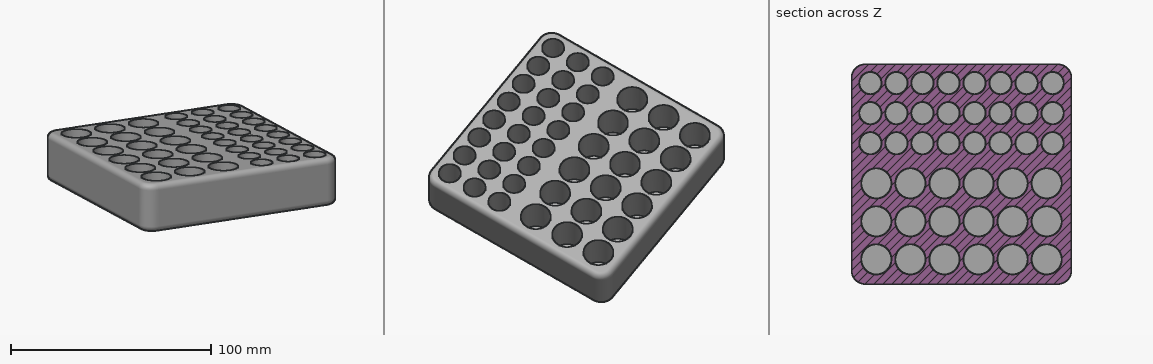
import cadquery as cq

side = 110
height = 25.0
corner_radius = 7.0
edge_radius = 3.0

floor_thickness = 5.0
pocket_depth = height - floor_thickness

small_diameter = 11
small_columns = 8
small_rows = 3
small_span_x = 91.0
small_span_y = 30.0
small_centre_y = 30.5

large_diameter = 15.0
large_columns = 6
large_rows = 3
large_span_x = 85.0
large_span_y = 38.0
large_centre_y = -23.5


def make_block():
    """Square block with rounded corners and rounded top and bottom rims."""
    block = cq.Workplane("XY").box(side, side, height, centered=(True, True, False))
    block = block.edges("|Z").fillet(corner_radius)
    return block.faces("<Z or >Z").edges().fillet(edge_radius)


def make_pockets(diameter, columns, rows, span_x, span_y, centre_y):
    """Cylinders that cut a rectangular grid of flat-bottomed pockets."""
    pitch_x = span_x / (columns - 1)
    pitch_y = span_y / (rows - 1)
    return (
        cq.Workplane("XY", origin=(0, centre_y, floor_thickness))
        .rarray(pitch_x, pitch_y, columns, rows)
        .circle(diameter / 2)
        .extrude(pocket_depth)
    )


small_pockets = make_pockets(
    small_diameter, small_columns, small_rows, small_span_x, small_span_y, small_centre_y
)
large_pockets = make_pockets(
    large_diameter, large_columns, large_rows, large_span_x, large_span_y, large_centre_y
)

result = make_block().cut(small_pockets).cut(large_pockets)